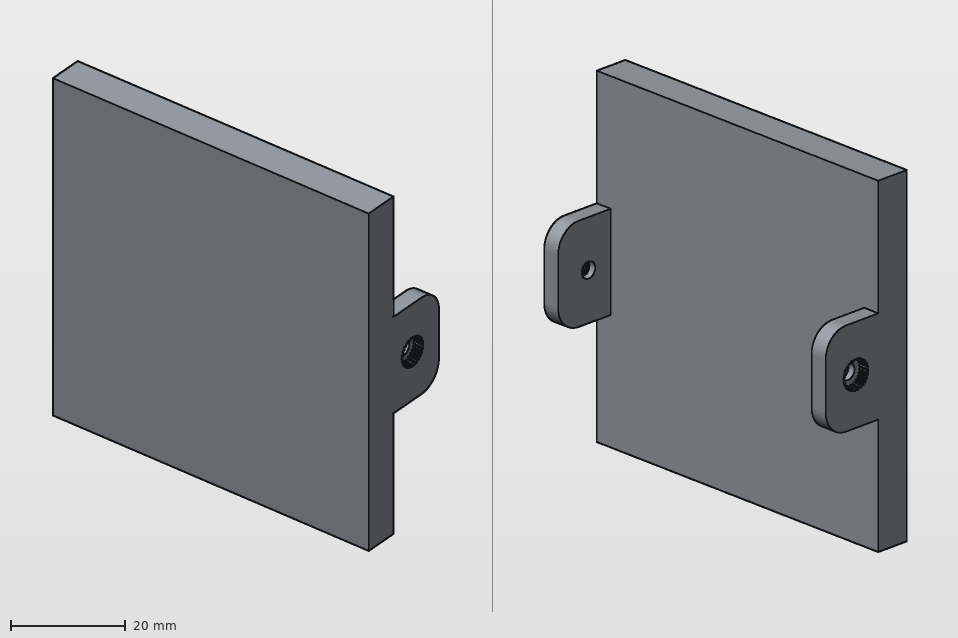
import cadquery as cq
import math

plate_side = 70.0
plate_thickness = 7.0

total_depth = 19.8
lug_thickness = 3.5
lug_height = 20.0
lug_corner_radius = 5.0

hole_diameter = 3.2
hole_to_lug_end = 7.4
socket_depth = 2.0
tooth_count = 26
groove_diameter = 6.0
ridge_diameter = 5.4
groove_floor_share = 0.35

half_side = plate_side / 2
hole_y = total_depth - hole_to_lug_end


def polar_point(diameter, angle):
    return (diameter / 2 * math.cos(angle), diameter / 2 * math.sin(angle))


def spline_outline():
    """Toothed outline: flat-floored grooves between sharp ridges, one groove facing +Y."""
    pitch = 2 * math.pi / tooth_count
    half_floor = groove_floor_share * pitch / 2
    points = []
    for tooth in range(tooth_count):
        groove_angle = tooth * pitch
        points.append(polar_point(ridge_diameter, groove_angle - pitch / 2))
        points.append(polar_point(groove_diameter, groove_angle - half_floor))
        points.append(polar_point(groove_diameter, groove_angle + half_floor))
    return points


def make_plate():
    """Square plate with its front face at Y = 0, centred on X and Z."""
    return cq.Workplane("XY").box(
        plate_side, plate_thickness, plate_side, centered=(True, False, True)
    )


def make_left_lug():
    """Lug at the -X side with rounded free corners, a screw hole and a splined socket."""
    lug = (
        cq.Workplane("XY")
        .box(lug_thickness, total_depth, lug_height, centered=(False, False, True))
        .translate((-half_side, 0, 0))
        .edges("|X and >Y")
        .fillet(lug_corner_radius)
    )
    outer_face = cq.Workplane("YZ", origin=(-half_side, hole_y, 0))
    screw_hole = outer_face.circle(hole_diameter / 2).extrude(lug_thickness)
    socket = outer_face.polyline(spline_outline()).close().extrude(socket_depth)
    return lug.cut(screw_hole).cut(socket)


left_lug = make_left_lug()
right_lug = left_lug.mirror("YZ")
result = make_plate().union(left_lug).union(right_lug)